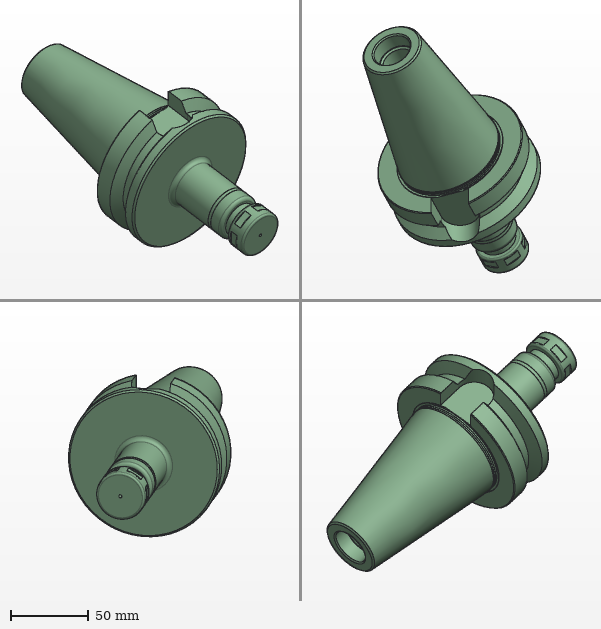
import cadquery as cq
import math


length = 206.8
gauge_x = 101.7
neck_groove_x = 103.0
neck_groove_end_x = 104.2
flange_x = 104.8
flange_end_x = 139.8
groove_x = 117.5
groove_floor_x = 121.8
groove_floor_end_x = 128.0
groove_end_x = 132.4
shank_groove_x = 174.1
shank_groove_end_x = 176.6
shank_end_x = 186.5
nut_x = 192.7

shallow_groove_depth = 0.1
taper_ratio = 7 / 48
gauge_radius = 35.0
taper_small_radius = gauge_radius - taper_ratio * gauge_x
neck_radius = 34.7
neck_groove_radius = neck_radius - shallow_groove_depth
face_recess_radius = 36.6
flange_radius = 50.0
groove_radius = 42.4
shank_radius = 32.0 / 2
shank_groove_radius = shank_radius - shallow_groove_depth
collet_radius = 12.0
nut_radius = 32.0 / 2

face_recess_depth = 0.6

taper_end_chamfer = 1.0
flange_back_chamfer = 0.6
flange_front_chamfer = 1.2
shank_root_fillet = 3.0
shank_end_fillet = 2.5
nut_back_fillet = 1.2
nut_front_fillet = 1.5

slot_width = 25.6
slot_end_x = 136.0
slot_floor = 35.4
slot_clearance = 2

flat_count = 6
flat_x = 195.2
flat_end_x = 200.8
flat_distance = 15.0

mouth_radius = 13.5
bore_radius = 25.0 / 2
bore_depth = 11.0
thread_radius = 10.5
thread_mouth_radius = 24.0 / 2
thread_mouth_depth = 1.0
thread_end_x = 78.5
drill_tip_radius = 6.6
coolant_radius = 2.5
coolant_end_x = 186.1
jet_radius = 2.0 / 2
drill_half_angle = math.radians(59)


def turn(points):
    """Revolve a closed (x, radius) outline about the X axis."""
    return cq.Workplane("XY").polyline(points).close().revolve(360, (0, 0, 0), (1, 0, 0))


def cylinder(start_x, end_x, radius):
    return cq.Workplane("YZ", origin=(start_x, 0, 0)).circle(radius).extrude(end_x - start_x)


def tube(start_x, end_x, outer_radius, inner_radius):
    return cylinder(start_x, end_x, outer_radius).cut(cylinder(start_x, end_x, inner_radius))


def make_taper():
    taper = turn([(0, 0), (0, taper_small_radius), (gauge_x, gauge_radius), (gauge_x, 0)])
    taper = taper.faces("<X").chamfer(taper_end_chamfer)
    neck = cylinder(gauge_x, flange_x + face_recess_depth, neck_radius)
    neck = neck.cut(tube(neck_groove_x, neck_groove_end_x, neck_radius, neck_groove_radius))
    return taper.union(neck)


def make_flange():
    flange = turn([
        (flange_x, 0),
        (flange_x, flange_radius),
        (groove_x, flange_radius),
        (groove_floor_x, groove_radius),
        (groove_floor_end_x, groove_radius),
        (groove_end_x, flange_radius),
        (flange_end_x, flange_radius),
        (flange_end_x, 0),
    ])
    flange = flange.faces("<X").edges().chamfer(flange_back_chamfer)
    flange = flange.faces(">X").edges().chamfer(flange_front_chamfer)
    recess_end_x = flange_x + face_recess_depth
    return flange.cut(tube(flange_x, recess_end_x, face_recess_radius, neck_radius))


def make_drive_slot(side):
    """Cutter for one round-ended slot; side is +1 for +Z and -1 for -Z."""
    end_radius = slot_width / 2
    depth = flange_radius - slot_floor + slot_clearance
    arc_x = slot_end_x - end_radius
    straight = arc_x - flange_x
    center_z = side * (slot_floor + depth / 2)
    block = cq.Workplane("XY").box(straight, slot_width, depth)
    block = block.translate((flange_x + straight / 2, 0, center_z))
    round_end = cq.Workplane("XY").circle(end_radius).extrude(depth / 2, both=True)
    return block.union(round_end.translate((arc_x, 0, center_z)))


def make_shank_root():
    """Ring with a concave profile that blends the shank into the flange face."""
    diagonal = shank_root_fillet * (1 - math.sqrt(0.5))
    profile = (
        cq.Workplane("XY")
        .moveTo(flange_end_x + shank_root_fillet, shank_radius)
        .threePointArc(
            (flange_end_x + diagonal, shank_radius + diagonal),
            (flange_end_x, shank_radius + shank_root_fillet),
        )
        .lineTo(flange_end_x, collet_radius)
        .lineTo(flange_end_x + shank_root_fillet, collet_radius)
        .close()
    )
    return profile.revolve(360, (0, 0, 0), (1, 0, 0))


def make_shank():
    shank = cylinder(flange_end_x, shank_end_x, shank_radius)
    shank = shank.faces(">X").edges().fillet(shank_end_fillet)
    shank = shank.union(make_shank_root())
    shank = shank.cut(tube(shank_groove_x, shank_groove_end_x, shank_radius, shank_groove_radius))
    return shank.union(cylinder(shank_end_x, nut_x, collet_radius))


def make_nut():
    nut = cylinder(nut_x, length, nut_radius)
    nut = nut.faces("<X").edges().fillet(nut_back_fillet)
    nut = nut.faces(">X").edges().fillet(nut_front_fillet)
    flat_length = flat_end_x - flat_x
    cutter = cq.Workplane("XY").box(flat_length, 2 * nut_radius, nut_radius)
    cutter = cutter.translate((flat_x + flat_length / 2, 0, flat_distance + nut_radius / 2))
    for index in range(flat_count):
        angle = 90 + index * 360 / flat_count
        nut = nut.cut(cutter.rotate((0, 0, 0), (1, 0, 0), angle))
    return nut


def make_bore():
    mouth_chamfer = mouth_radius - bore_radius
    drill_tip = (thread_radius - drill_tip_radius) / math.tan(drill_half_angle)
    return turn([
        (0, 0),
        (0, mouth_radius),
        (mouth_chamfer, bore_radius),
        (bore_depth, bore_radius),
        (bore_depth, thread_mouth_radius),
        (bore_depth + thread_mouth_depth, thread_radius),
        (thread_end_x, thread_radius),
        (thread_end_x + drill_tip, drill_tip_radius),
        (thread_end_x + drill_tip, coolant_radius),
        (coolant_end_x, coolant_radius),
        (coolant_end_x, jet_radius),
        (length, jet_radius),
        (length, 0),
    ])


body = make_taper().union(make_flange()).union(make_shank())
for side in (1, -1):
    body = body.cut(make_drive_slot(side))
result = body.union(make_nut()).cut(make_bore())